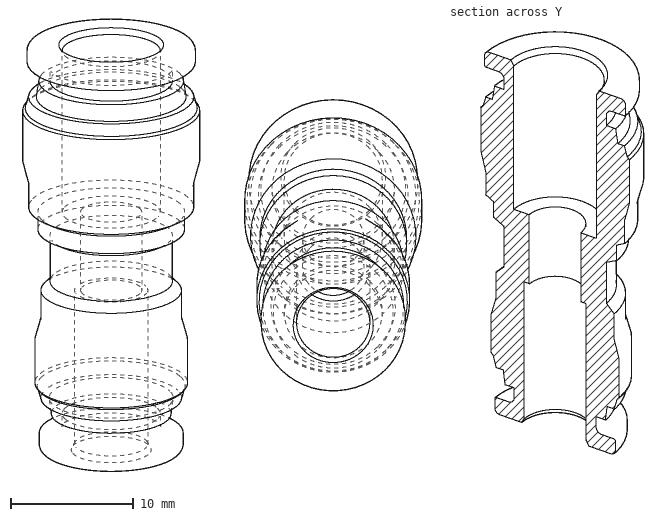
import cadquery as cq
import math

length = 35.0

collar_thickness = 1.6
collar_outer_round = 0.52
collar_inner_round = 0.2
neck_fillet = 0.52
large_collar_diameter = 13.8
large_neck_diameter = 10.0
small_collar_diameter = 11.8
small_neck_diameter = 8.0

stem_diameter = 10.0
large_body_diameter = 14.5
large_waist_diameter = 13.5
large_step_diameter = 12.0
small_body_diameter = 12.5
small_waist_diameter = 11.5

large_shoulder_diameters = (14.07, 13.5)
large_ring_diameters = (12.25, 11.83)
small_shoulder_diameters = (12.1, 11.5)
small_ring_diameters = (10.15, 9.8)

passage_diameter = 5.0
large_bore_diameter = 8.0
small_bore_diameter = 6.0
large_socket_floor = 20.55
small_socket_floor = 13.8
mouth_chamfer_width = 0.28
mouth_chamfer_depth = 0.5

body_corners = [
    (small_neck_diameter, 3.1),
    (small_ring_diameters[1], 3.1),
    (small_ring_diameters[0], 4.48),
    (small_shoulder_diameters[1], 4.48),
    (small_shoulder_diameters[0], 5.55),
    (small_body_diameter, 5.78),
    (small_body_diameter, 9.52),
    (small_waist_diameter, 11.35),
    (small_waist_diameter, 13.8),
    (stem_diameter, 14.55),
    (stem_diameter, 18.5),
    (large_step_diameter, 19.05),
    (large_step_diameter, 20.55),
    (large_waist_diameter, 20.95),
    (large_waist_diameter, 23.15),
    (large_body_diameter, 25.05),
    (large_body_diameter, 29.33),
    (large_shoulder_diameters[0], 29.55),
    (large_shoulder_diameters[1], 30.52),
    (large_ring_diameters[0], 30.52),
    (large_ring_diameters[1], 31.9),
    (large_neck_diameter, 31.9),
]


def revolve_about_z(profile):
    """Revolve a closed (radius, height) profile around the Z axis."""
    return profile.close().revolve(360, (0, 0, 0), (0, 1, 0))


def make_body():
    profile = cq.Workplane("XZ").moveTo(0, body_corners[0][1])
    for diameter, height in body_corners:
        profile = profile.lineTo(diameter / 2, height)
    return revolve_about_z(profile.lineTo(0, body_corners[-1][1]))


def make_collar(diameter, neck_diameter, end_height, neck_height, inward):
    """Flange and neck; inward is +1 or -1, the direction along Z into the part."""
    radius = diameter / 2
    neck_radius = neck_diameter / 2
    back_height = end_height + inward * collar_thickness

    def round_through(profile, center, size, start_angle):
        """Quarter arc turning from start_angle, measured from outward toward inward."""
        angles = [math.radians(start_angle + turn) for turn in (45, 90)]
        points = [
            (center[0] + size * math.cos(a), center[1] + inward * size * math.sin(a))
            for a in angles
        ]
        return profile.threePointArc(*points)

    outer_center = (radius - collar_outer_round, end_height + inward * collar_outer_round)
    inner_center = (radius - collar_inner_round, back_height - inward * collar_inner_round)
    fillet_end = back_height + inward * neck_fillet
    fillet_middle_offset = neck_fillet * (1 - math.sqrt(0.5))

    profile = cq.Workplane("XZ").moveTo(0, end_height)
    profile = profile.lineTo(outer_center[0], end_height)
    profile = round_through(profile, outer_center, collar_outer_round, -90)
    profile = profile.lineTo(radius, inner_center[1])
    profile = round_through(profile, inner_center, collar_inner_round, 0)
    profile = profile.lineTo(neck_radius + neck_fillet, back_height)
    profile = profile.threePointArc(
        (neck_radius + fillet_middle_offset, back_height + inward * fillet_middle_offset),
        (neck_radius, fillet_end),
    )
    profile = profile.lineTo(neck_radius, neck_height).lineTo(0, neck_height)
    return revolve_about_z(profile)


def make_socket(diameter, end_height, floor_height, inward):
    """Tube bore with a chamfered mouth, as a solid to cut away."""
    radius = diameter / 2
    profile = (
        cq.Workplane("XZ")
        .moveTo(0, end_height)
        .lineTo(radius + mouth_chamfer_width, end_height)
        .lineTo(radius, end_height + inward * mouth_chamfer_depth)
        .lineTo(radius, floor_height)
        .lineTo(0, floor_height)
    )
    return revolve_about_z(profile)


small_neck_height = body_corners[0][1]
large_neck_height = body_corners[-1][1]
small_collar = make_collar(small_collar_diameter, small_neck_diameter, 0, small_neck_height, 1)
large_collar = make_collar(
    large_collar_diameter, large_neck_diameter, length, large_neck_height, -1
)
passage = cq.Workplane("XY").circle(passage_diameter / 2).extrude(length)

result = (
    make_body()
    .union(small_collar)
    .union(large_collar)
    .cut(passage)
    .cut(make_socket(small_bore_diameter, 0, small_socket_floor, 1))
    .cut(make_socket(large_bore_diameter, length, large_socket_floor, -1))
)